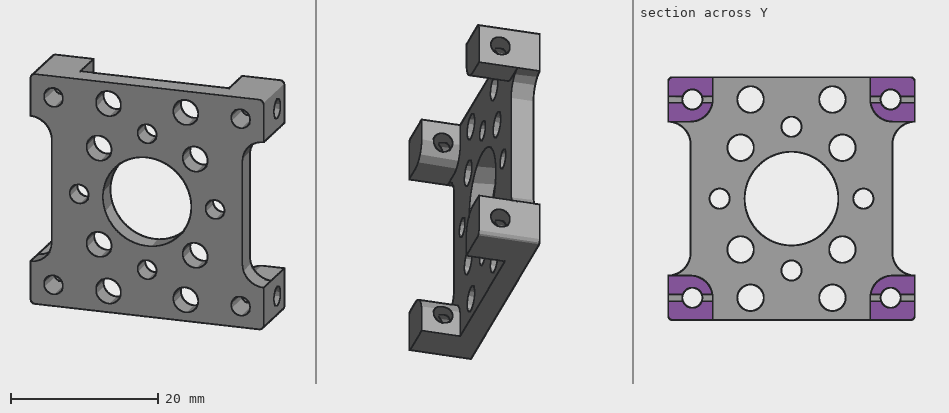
import cadquery as cq

width = 33.53
height = 33.02
depth = 8.63
plate_thickness = 3.175
corner_radius = 0.66

leg_side = 6.08
leg_inner_radius = leg_side / 2

notch_depth = 3.05
notch_radius = notch_depth

bore_diameter = 12.7
large_hole_diameter = 3.56
small_hole_diameter = 2.7
small_hole_offset = 9.76
diagonal_hole_offset = 6.91
edge_hole_x = 5.56

leg_hole_x = 13.46
leg_hole_z = 13.46
cross_hole_y = 5.6

SIGNS = (-1, 1)


def box(x_size, y_size, z_size):
    """Box centred on X and Z, with its front face at Y = 0."""
    return cq.Workplane("XY").box(x_size, y_size, z_size, centered=(True, False, True))


def mirrored(x, z):
    """The point (x, z) repeated in all four quadrants."""
    return [(sx * x, sz * z) for sx in SIGNS for sz in SIGNS]


def front_holes(points, diameter, length):
    """Cylinders running along +Y from the front face."""
    return cq.Workplane("XZ").pushPoints(points).circle(diameter / 2).extrude(-length)


def make_plate():
    """Plate with rounded outer corners, before the side notches are cut."""
    return box(width, plate_thickness, height).edges("|Y").fillet(corner_radius)


def make_leg(side_x, side_z):
    """Corner leg with a small round outside and a large one facing the part centre."""
    outward_x = ">X" if side_x > 0 else "<X"
    outward_z = ">Z" if side_z > 0 else "<Z"
    inward_x = "<X" if side_x > 0 else ">X"
    inward_z = "<Z" if side_z > 0 else ">Z"
    leg = box(leg_side, depth, leg_side)
    leg = leg.edges(f"|Y and {outward_x} and {outward_z}").fillet(corner_radius)
    leg = leg.edges(f"|Y and {inward_x} and {inward_z}").fillet(leg_inner_radius)
    return leg.translate((side_x * (width - leg_side) / 2, 0, side_z * (height - leg_side) / 2))


def make_notch(side):
    """Side cutout, as tall as the gap between the legs."""
    notch = box(2 * notch_depth, plate_thickness, height - 2 * leg_side)
    inner_edges = "<X" if side > 0 else ">X"
    notch = notch.edges("|Y").edges(inner_edges).fillet(notch_radius)
    return notch.translate((side * width / 2, 0, 0))


def make_plate_holes():
    """Central bore and the mounting holes around it."""
    large_points = mirrored(diagonal_hole_offset, diagonal_hole_offset)
    large_points += mirrored(edge_hole_x, leg_hole_z)
    small_points = []
    for sign in SIGNS:
        small_points.append((sign * small_hole_offset, 0))
        small_points.append((0, sign * small_hole_offset))
    bore = front_holes([(0, 0)], bore_diameter, plate_thickness)
    large_holes = front_holes(large_points, large_hole_diameter, plate_thickness)
    small_holes = front_holes(small_points, small_hole_diameter, plate_thickness)
    return bore.add(large_holes).add(small_holes).vals()


def make_leg_holes():
    """Front holes that stop at the cross holes, and the cross holes through both legs."""
    front = front_holes(mirrored(leg_hole_x, leg_hole_z), small_hole_diameter, cross_hole_y)
    cross_points = [(cross_hole_y, sign * leg_hole_z) for sign in SIGNS]
    cross = (
        cq.Workplane("YZ")
        .pushPoints(cross_points)
        .circle(small_hole_diameter / 2)
        .extrude(width / 2, both=True)
    )
    return front.add(cross).vals()


result = make_plate()
for side in SIGNS:
    result = result.cut(make_notch(side))
for side_x, side_z in mirrored(1, 1):
    result = result.union(make_leg(side_x, side_z))
for hole in make_plate_holes() + make_leg_holes():
    result = result.cut(cq.Workplane(hole))